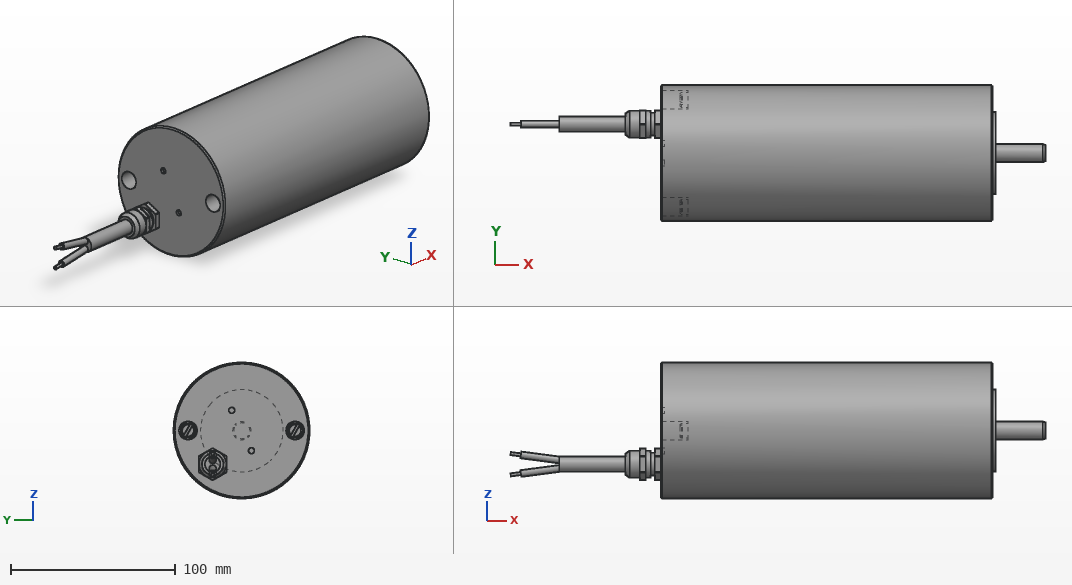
import cadquery as cq
import math

body_diameter = 83.0
body_length = 201.5
edge_chamfer = 1.0

pilot_diameter = 50.0
pilot_length = 2.0
shaft_diameter = 11.0
shaft_length = 30.2
shaft_chamfer_length = 1.5
shaft_chamfer_height = 0.5

screw_offset = 32.5
screw_hole_diameter = 11.0
screw_hole_depth = 16.2
screw_diameter = 9.0
screw_chamfer = 1.0
screw_height = 5.0
slot_width = 1.5
slot_depth = 1.5
slot_angle = 120
spanner_hole_diameter = 3.5
spanner_hole_depth = 2.0
spanner_hole_radius = 13.5
spanner_hole_angle = 64

gland_y = 17.5
gland_z = -20.5
hexagon_flats = 17.0
hexagon_corners = 19.2
base_hexagon_length = 3.5
neck_diameter = 14.0
neck_end = 6.2
nut_diameter = 16.5
nut_hexagon_start = 9.0
nut_hexagon_length = 3.5
nut_end = 21.5
nut_mouth_diameter = 13.0
nut_cone_length = 2.5

cable_diameter = 9.5
cable_end = 61.7
wire_tip_end = 91.3
insulation_diameter = 4.2
insulation_length = 23.5
core_diameter = 2.0
wire_offset = 2.5
wire_angle = 7.5
wire_embedment = 1.5


def cylinder(diameter, start, end, y=0, z=0):
    """Cylinder parallel to X between X = start and X = end."""
    return cq.Workplane("YZ", origin=(start, y, z)).circle(diameter / 2).extrude(end - start)


def motor():
    """Chamfered body with the pilot and shaft on its front face."""
    shaft_start = body_length + pilot_length
    shaft = cylinder(shaft_diameter, body_length, shaft_start + shaft_length)
    shaft = shaft.faces(">X").chamfer(shaft_chamfer_length, shaft_chamfer_height)
    pilot = cylinder(pilot_diameter, body_length, shaft_start)
    housing = cylinder(body_diameter, 0, body_length).faces("<X or >X").chamfer(edge_chamfer)
    return housing.union(pilot).union(shaft)


def screw_head(y):
    """Slotted head standing on the floor of a screw hole."""
    top = screw_hole_depth - screw_height
    head = cylinder(screw_diameter, top, screw_hole_depth, y).faces("<X").chamfer(screw_chamfer)
    slot = (
        cq.Workplane("YZ", origin=(top, y, 0))
        .transformed(rotate=(0, 0, slot_angle))
        .rect(screw_diameter, slot_width)
        .extrude(slot_depth)
    )
    return head.cut(slot)


def hexagon_collar(start, end):
    """Hexagon on the gland axis with its corners up and down, turned down to the corner diameter."""
    circumscribed = hexagon_flats / math.cos(math.pi / 6)
    hexagon = (
        cq.Workplane("YZ", origin=(start, gland_y, gland_z))
        .transformed(rotate=(0, 0, 90))
        .polygon(6, circumscribed)
        .extrude(end - start)
    )
    return hexagon.intersect(cylinder(hexagon_corners, start, end, gland_y, gland_z))


def gland():
    """Base hexagon, neck and coned clamping nut with its hexagonal band."""
    cone_height = (nut_diameter - nut_mouth_diameter) / 2
    nut = cylinder(nut_diameter, -nut_end, -neck_end, gland_y, gland_z)
    nut = nut.faces("<X").chamfer(nut_cone_length, cone_height)
    neck = cylinder(neck_diameter, -neck_end, 0, gland_y, gland_z)
    nut_band = hexagon_collar(-nut_hexagon_start - nut_hexagon_length, -nut_hexagon_start)
    return nut.union(nut_band).union(neck).union(hexagon_collar(-base_hexagon_length, 0))


def wire(side):
    """Insulated wire and bare tip leaving the cable end, tilted up (+1) or down (-1)."""
    tilt = math.radians(wire_angle)
    direction = cq.Vector(-math.cos(tilt), 0, side * math.sin(tilt))
    exit_point = cq.Vector(-cable_end, gland_y, gland_z + side * wire_offset)
    root = exit_point - direction * wire_embedment
    rim_reach = core_diameter / 2 * math.sin(tilt)
    core_length = (wire_tip_end - cable_end - rim_reach) / math.cos(tilt)
    insulation = cq.Solid.makeCylinder(
        insulation_diameter / 2, wire_embedment + insulation_length, root, direction
    )
    core = cq.Solid.makeCylinder(core_diameter / 2, wire_embedment + core_length, root, direction)
    return cq.Workplane(insulation).union(cq.Workplane(core))


result = motor()

for side in (-1, 1):
    screw_y = side * screw_offset
    result = result.cut(cylinder(screw_hole_diameter, 0, screw_hole_depth, screw_y))
    result = result.union(screw_head(screw_y))

    spanner_y = side * spanner_hole_radius * math.cos(math.radians(spanner_hole_angle))
    spanner_z = side * spanner_hole_radius * math.sin(math.radians(spanner_hole_angle))
    result = result.cut(cylinder(spanner_hole_diameter, 0, spanner_hole_depth, spanner_y, spanner_z))

result = result.union(gland()).union(cylinder(cable_diameter, -cable_end, 0, gland_y, gland_z))
for side in (-1, 1):
    result = result.union(wire(side))